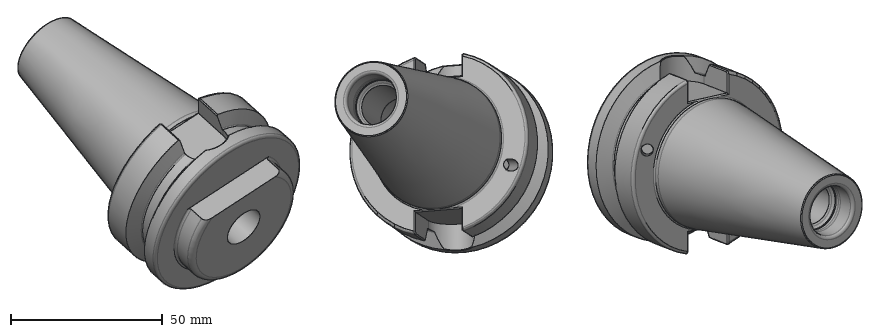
import cadquery as cq
import math

tolerance = 0.01

overall_length = 100.4
gauge_radius = 44.45 / 2
taper_length = 65.4
taper_ratio = 7 / 24
small_end_radius = gauge_radius - taper_length * taper_ratio / 2
small_end_chamfer = 0.3

flange_start = taper_length + 2
flange_end = flange_start + 25
flange_radius = 63 / 2
front_collar_radius = 31.2
flange_edge_fillet = 1.0
root_fillet = 0.5
groove_center = taper_length + 16.6
groove_floor_radius = 53 / 2
groove_mouth_half_width = 5.0
groove_wall_slope = math.tan(math.radians(30))
groove_wall_run = (flange_radius - groove_floor_radius) * groove_wall_slope
groove_floor_half_width = groove_mouth_half_width - groove_wall_run
groove_floor_start = groove_center - groove_floor_half_width
groove_floor_end = groove_center + groove_floor_half_width
groove_collar_edge = groove_floor_start - (front_collar_radius - groove_floor_radius) * groove_wall_slope
groove_fillet = 0.5

nose_radius = 45 / 2
nose_root_fillet = 0.8
nose_end_fillet = 2.0
nose_flat_height = 15.3

slot_width = 16.1
slot_floor_height = 22.5
slot_end = 88.5
slot_chamfer = 0.45
crest_chamfer = 0.25

bore_radius = 14 / 2
counterbore_radius = 17 / 2
mouth_fillet = 1.1
counterbore_end = 6.6
neck_radius = 8.45
neck_start = 7.6
sleeve_start = 8.8
funnel_start = 9.3
funnel_radius = 8.35
funnel_knee = 10.2
knee_radius = 7.6
funnel_end = 10.7
sleeve_end = 30.0

coolant_radius = 2.0
coolant_pitch_radius = 26.9
coolant_angle = 20.0
coolant_tilt = 40.0
coolant_depth = 8.0


def ring_edges(body, x, radius):
    """The full-circle edges of one radius at one X."""
    return body.edges("%CIRCLE").filter(
        lambda edge: abs(edge.Center().x - x) < tolerance and abs(edge.radius() - radius) < tolerance)


def make_turned_blank():
    outline = [
        (0, 0),
        (0, small_end_radius),
        (taper_length, gauge_radius),
        (flange_start, gauge_radius),
        (flange_start, front_collar_radius),
        (groove_collar_edge, front_collar_radius),
        (groove_floor_start, groove_floor_radius),
        (groove_floor_end, groove_floor_radius),
        (groove_center + groove_mouth_half_width, flange_radius),
        (flange_end, flange_radius),
        (flange_end, nose_radius),
        (overall_length, nose_radius),
        (overall_length, 0),
    ]
    blank = cq.Workplane("XY").polyline(outline).close().revolve(360, (0, 0, 0), (1, 0, 0))
    fillets = [
        (flange_start, gauge_radius, root_fillet),
        (flange_start, front_collar_radius, flange_edge_fillet),
        (groove_floor_start, groove_floor_radius, groove_fillet),
        (groove_floor_end, groove_floor_radius, groove_fillet),
        (flange_end, flange_radius, flange_edge_fillet),
        (flange_end, nose_radius, nose_root_fillet),
        (overall_length, nose_radius, nose_end_fillet),
    ]
    for x, radius, size in fillets:
        blank = ring_edges(blank, x, radius).fillet(size)
    return ring_edges(blank, 0, small_end_radius).chamfer(small_end_chamfer)


def cut_nose_flat(body):
    length = overall_length - flange_end
    cutter = cq.Workplane("XY").box(
        length, 2 * flange_radius, flange_radius, centered=(False, True, False))
    return body.cut(cutter.translate((flange_end, 0, nose_flat_height)))


def make_slot_cutter():
    """Round-ended slot along X, open toward the small end of the taper."""
    half_width = slot_width / 2
    arc_center = slot_end - half_width
    return (
        cq.Workplane("XY", origin=(0, 0, slot_floor_height))
        .moveTo(taper_length, -half_width)
        .lineTo(arc_center, -half_width)
        .threePointArc((slot_end, 0), (arc_center, half_width))
        .lineTo(taper_length, half_width)
        .close()
        .extrude(flange_radius)
    )


def is_collar_rim(edge):
    """True for the edges where a slot breaks out of the front collar."""
    center = edge.Center()
    height = abs(center.z)
    at_floor = abs(height - slot_floor_height) < tolerance
    on_side_wall = abs(abs(center.y) - slot_width / 2) < tolerance
    on_floor_front = at_floor and abs(center.x - flange_start) < tolerance
    on_wall_rim = on_side_wall and height > slot_floor_height + tolerance and center.x < groove_collar_edge
    return on_floor_front or on_wall_rim


def is_crest(edge):
    """True for the edge where the round end of a slot cuts the rear rim."""
    box = edge.BoundingBox()
    lowest_height = min(abs(box.zmin), abs(box.zmax))
    reaches_slot_end = abs(box.xmax - slot_end) < tolerance
    return reaches_slot_end and lowest_height > groove_floor_radius


def cut_drive_slots(body):
    cutter = make_slot_cutter()
    for turn in (0, 180):
        body = body.cut(cutter.rotate((0, 0, 0), (1, 0, 0), turn))
    body = body.edges().filter(is_collar_rim).chamfer(slot_chamfer)
    return body.edges().filter(is_crest).chamfer(crest_chamfer)


def make_bore():
    """Space removed from the holder: counterbore, sleeve seat and through bore."""
    mouth_outer = counterbore_radius + mouth_fillet
    mouth_bulge = mouth_fillet * (1 - math.sqrt(0.5))
    profile = (
        cq.Workplane("XY")
        .moveTo(0, 0)
        .lineTo(0, mouth_outer)
        .threePointArc((mouth_bulge, counterbore_radius + mouth_bulge), (mouth_fillet, counterbore_radius))
        .lineTo(counterbore_end, counterbore_radius)
        .lineTo(neck_start, neck_radius)
        .lineTo(sleeve_end, neck_radius)
        .lineTo(sleeve_end, bore_radius)
        .lineTo(overall_length, bore_radius)
        .lineTo(overall_length, 0)
        .close()
    )
    return profile.revolve(360, (0, 0, 0), (1, 0, 0))


def cut_coolant_holes(body):
    tilt = math.radians(coolant_tilt)
    direction = cq.Vector(math.cos(tilt), -math.sin(tilt), 0)
    entry = cq.Vector(flange_start, coolant_pitch_radius, 0)
    overshoot = 2 * coolant_radius
    hole = cq.Solid.makeCylinder(
        coolant_radius, coolant_depth + overshoot, entry - direction * overshoot, direction)
    for turn in (0, 180):
        body = body.cut(cq.Workplane(hole.rotate(
            cq.Vector(0, 0, 0), cq.Vector(1, 0, 0), coolant_angle + turn)))
    return body


def make_holder():
    body = make_turned_blank()
    body = cut_nose_flat(body)
    body = cut_drive_slots(body)
    body = cut_coolant_holes(body)
    return body.cut(make_bore())


def make_sleeve():
    """Insert with a funnel of two cones that leads into the through bore."""
    profile = cq.Workplane("XY").polyline([
        (sleeve_start, neck_radius),
        (funnel_start, funnel_radius),
        (funnel_knee, knee_radius),
        (funnel_end, bore_radius),
        (sleeve_end, bore_radius),
        (sleeve_end, neck_radius),
    ]).close()
    return profile.revolve(360, (0, 0, 0), (1, 0, 0))


holder = make_holder()
sleeve = make_sleeve()
result = cq.Compound.makeCompound([holder.val(), sleeve.val()])